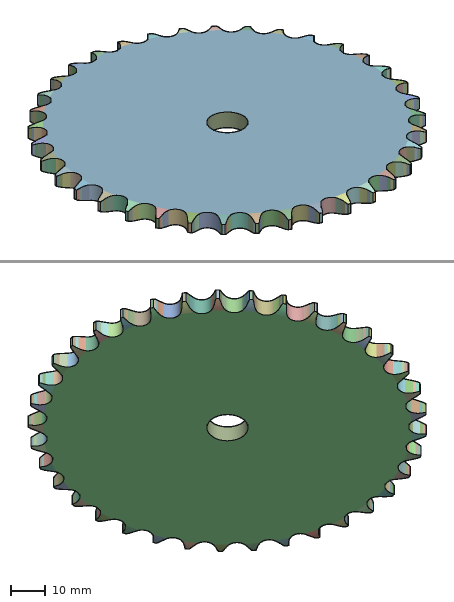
import math

import cadquery as cq

tooth_count = 37
chain_pitch = 9.525
roller_diameter = 6.35
bore_diameter = 12.0
thickness = 5.3
tip_radius = 58.2
first_tooth_angle = -90.0

seat_ratio = 0.5025
working_ratio = 1.3025
working_centre_ratio = 0.8
topping_centre_ratio = 1.4
seat_allowance = 0.038
seat_half_angle = 55.0 - 60.0 / tooth_count
working_angle = 18.0 - 56.0 / tooth_count
topping_angle = 17.0 - 64.0 / tooth_count

relief_radius = 10.0
relief_depth = 1.0

tooth_angle = 360.0 / tooth_count
pitch_radius = chain_pitch / (2 * math.sin(math.radians(tooth_angle / 2)))
relief_width = math.sqrt(relief_radius**2 - (relief_radius - relief_depth) ** 2)
face_radius = tip_radius - relief_width
half_thickness = thickness / 2

seat_radius = seat_ratio * roller_diameter + seat_allowance
working_radius = working_ratio * roller_diameter + seat_allowance
working_centre_distance = working_centre_ratio * roller_diameter
topping_centre_distance = topping_centre_ratio * roller_diameter
flank_length = topping_centre_distance * math.sin(math.radians(topping_angle))
flank_length -= working_centre_distance * math.sin(math.radians(working_angle))
topping_radius = topping_centre_distance * math.cos(math.radians(topping_angle))
topping_radius += working_centre_distance * math.cos(math.radians(working_angle))
topping_radius -= working_radius


def offset(point, distance, angle):
    """Point at a distance from another one, in the direction of an angle in degrees."""
    turn = math.radians(angle)
    return (point[0] + distance * math.cos(turn), point[1] + distance * math.sin(turn))


def rotated(point, angle):
    """Point turned about the sprocket axis by an angle in degrees."""
    x_end = offset((0, 0), point[0], angle)
    return offset(x_end, point[1], angle + 90)


def mirrored(point):
    return (point[0], -point[1])


def half_gap_points():
    """Points of the +Y half of a tooth gap centred on +X, from the seat end to the tooth tip."""
    roller_centre = (pitch_radius, 0)
    seat_end = offset(roller_centre, seat_radius, 180 - seat_half_angle)

    working_centre = offset(seat_end, working_radius, -seat_half_angle)
    working_start_angle = 180 - seat_half_angle
    working_middle = offset(working_centre, working_radius, working_start_angle - working_angle / 2)
    working_end = offset(working_centre, working_radius, working_start_angle - working_angle)

    flank_direction = 90 - seat_half_angle - working_angle
    flank_end = offset(working_end, flank_length, flank_direction)

    topping_centre = offset(flank_end, topping_radius, flank_direction + 90)
    centre_radius = math.hypot(*topping_centre)
    centre_angle = math.degrees(math.atan2(topping_centre[1], topping_centre[0]))
    tip_cosine = (tip_radius**2 + centre_radius**2 - topping_radius**2) / (2 * tip_radius * centre_radius)
    tip = offset((0, 0), tip_radius, centre_angle - math.degrees(math.acos(tip_cosine)))
    topping_start_angle = flank_direction - 90
    topping_end_angle = math.degrees(math.atan2(tip[1] - topping_centre[1], tip[0] - topping_centre[0]))
    topping_middle = offset(topping_centre, topping_radius, (topping_start_angle + topping_end_angle) / 2)
    return seat_end, working_middle, working_end, flank_end, topping_middle, tip


def gap_outline(outline, half_gap, gap_angle):
    """Continue the outline from one tooth tip through a gap to the next tooth tip."""
    seat_end, working_middle, working_end, flank_end, topping_middle, tip = [
        rotated(point, gap_angle) for point in half_gap
    ]
    seat_start, working_middle_in, working_start_in, flank_start_in, topping_middle_in, _ = [
        rotated(mirrored(point), gap_angle) for point in half_gap
    ]
    gap_bottom = offset((0, 0), pitch_radius - seat_radius, gap_angle)
    return (
        outline.threePointArc(topping_middle_in, flank_start_in)
        .lineTo(*working_start_in)
        .threePointArc(working_middle_in, seat_start)
        .threePointArc(gap_bottom, seat_end)
        .threePointArc(working_middle, working_end)
        .lineTo(*flank_end)
        .threePointArc(topping_middle, tip)
    )


def toothed_plate():
    """Plate with one gap after the other, joined by the arcs of the tooth tips."""
    half_gap = half_gap_points()
    first_tip = mirrored(half_gap[-1])
    first_gap_angle = first_tooth_angle + tooth_angle / 2
    outline = cq.Workplane("XY", origin=(0, 0, -half_thickness))
    outline = outline.moveTo(*rotated(first_tip, first_gap_angle))
    for index in range(tooth_count):
        gap_angle = first_gap_angle + index * tooth_angle
        tooth_top = offset((0, 0), tip_radius, gap_angle + tooth_angle / 2)
        next_tip = rotated(first_tip, gap_angle + tooth_angle)
        outline = gap_outline(outline, half_gap, gap_angle)
        outline = outline.threePointArc(tooth_top, next_tip)
    return outline.close().extrude(thickness)


def relieved_disc():
    """Bored disc whose rim thins towards the tooth tips along an arc on each face."""
    bore_radius = bore_diameter / 2
    tip_z = half_thickness - relief_depth
    half_arc_angle = math.degrees(math.asin(relief_width / relief_radius)) / 2
    relief_centre = (face_radius, half_thickness - relief_radius)
    relief_middle = offset(relief_centre, relief_radius, 90 - half_arc_angle)
    return (
        cq.Workplane("XZ")
        .moveTo(bore_radius, -half_thickness)
        .lineTo(face_radius, -half_thickness)
        .threePointArc(mirrored(relief_middle), (tip_radius, -tip_z))
        .lineTo(tip_radius, tip_z)
        .threePointArc(relief_middle, (face_radius, half_thickness))
        .lineTo(bore_radius, half_thickness)
        .close()
        .revolve(360, (0, 0, 0), (0, 1, 0))
    )


result = toothed_plate().intersect(relieved_disc())